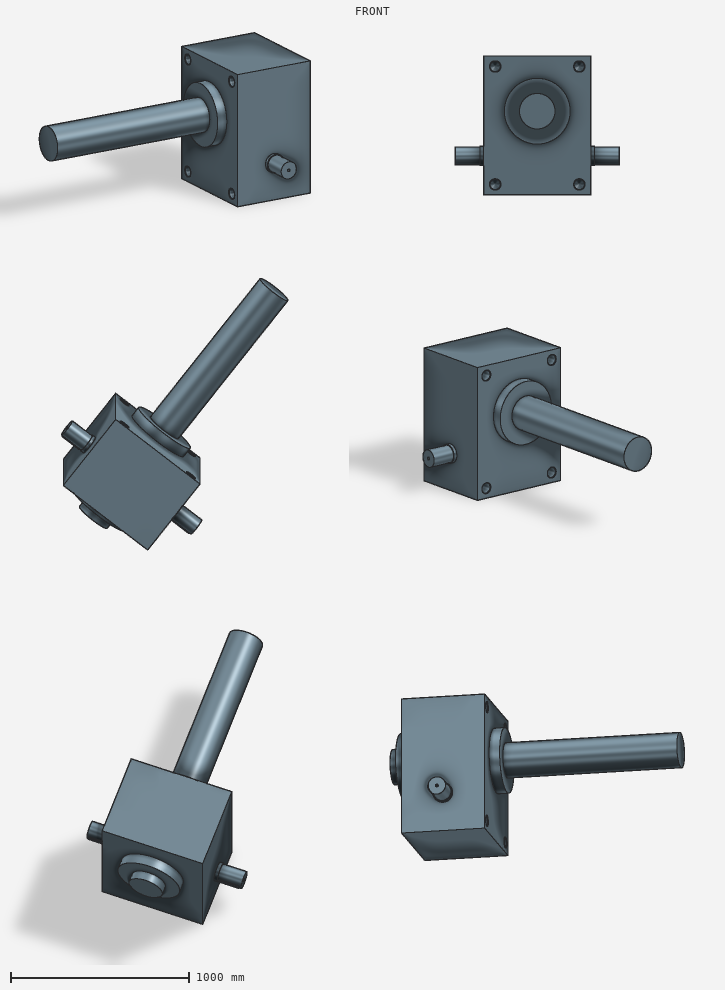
import cadquery as cq
import math

housing_width = 600.0
housing_depth = 478.0
housing_height = 780.0
boss_diameter = 370.0

drill_tip_angle = 118

hole_diameter = 58.0
hole_mouth_diameter = 65.0
hole_depth = 100.0
hole_side_inset = 65.0
hole_end_inset = 60.0

spindle_diameter = 200.0
spindle_length = 1650
spindle_height = 470.0
spindle_rear_overhang = 51.0
spindle_front_overhang = 1000.0

shaft_diameter = 100.0
shaft_height = 220.0
shoulder_diameter = 110.0
shoulder_length = 20.0
overall_width = 920.0
centre_hole_diameter = 13.9
centre_hole_mouth_diameter = 16.0
centre_hole_depth = 25.0

key_width = 25.0
key_length = 124.0
key_projection = 4.0

boss_length = (spindle_length - spindle_rear_overhang - spindle_front_overhang - housing_depth) / 2
boss_face_y = housing_depth / 2 + boss_length
housing_side_x = housing_width / 2
shaft_end_length = (overall_width - housing_width) / 2
shaft_seat_length = shaft_end_length - shoulder_length


def spindle_axis_cylinder(diameter, start_y, length):
    """Cylinder on the spindle axis that starts at start_y and runs toward +Y."""
    return cq.Workplane("XZ", origin=(0, start_y, spindle_height)).circle(diameter / 2).extrude(-length)


def blind_hole_cutter(diameter, mouth_diameter, depth):
    """Drilled hole along +Y from the origin, with a chamfered mouth and a conical tip."""
    hole_radius = diameter / 2
    mouth_radius = mouth_diameter / 2
    chamfer_depth = mouth_radius - hole_radius
    tip_length = hole_radius / math.tan(math.radians(drill_tip_angle / 2))
    return (
        cq.Workplane("XY")
        .lineTo(mouth_radius, 0)
        .lineTo(hole_radius, chamfer_depth)
        .lineTo(hole_radius, depth)
        .lineTo(0, depth + tip_length)
        .close()
        .revolve(360, (0, 0, 0), (0, 1, 0))
    )


def make_housing():
    """Block with a round boss front and rear, a spindle bore and four mounting holes."""
    block = cq.Workplane("XY").box(
        housing_width, housing_depth, housing_height, centered=(True, True, False)
    )
    through_length = 2 * boss_face_y
    bosses = spindle_axis_cylinder(boss_diameter, -boss_face_y, through_length)
    bore = spindle_axis_cylinder(spindle_diameter, -boss_face_y, through_length)
    housing = block.union(bosses).cut(bore)

    mounting_hole = blind_hole_cutter(hole_diameter, hole_mouth_diameter, hole_depth)
    hole_x = housing_width / 2 - hole_side_inset
    for x in (-hole_x, hole_x):
        for z in (hole_end_inset, housing_height - hole_end_inset):
            housing = housing.cut(mounting_hole.translate((x, -housing_depth / 2, z)))
    return housing


def make_spindle():
    """Plain round bar through the housing."""
    rear_y = boss_face_y + spindle_rear_overhang
    return spindle_axis_cylinder(spindle_diameter, rear_y - spindle_length, spindle_length)


def make_shaft_end(side):
    """Shouldered shaft end with its key and centre hole; side is +1 for +X and -1 for -X."""
    face = cq.Workplane("YZ", origin=(housing_side_x, 0, shaft_height))
    shoulder = face.circle(shoulder_diameter / 2).extrude(shoulder_length)
    seat = face.circle(shaft_diameter / 2).extrude(shaft_end_length)

    key_centre_x = housing_side_x + shoulder_length + shaft_seat_length / 2
    key = (
        cq.Workplane("XZ", origin=(key_centre_x, 0, shaft_height))
        .slot2D(key_length, key_width)
        .extrude(-(shaft_diameter / 2 + key_projection))
    )
    centre_hole = (
        blind_hole_cutter(centre_hole_diameter, centre_hole_mouth_diameter, centre_hole_depth)
        .rotate((0, 0, 0), (0, 0, 1), 90)
        .translate((overall_width / 2, 0, shaft_height))
    )
    shaft_end = shoulder.union(seat).union(key).cut(centre_hole)
    return shaft_end if side > 0 else shaft_end.mirror("YZ")


housing = make_housing()
spindle = make_spindle()
shaft_ends = [make_shaft_end(side) for side in (-1, 1)]

result = cq.Compound.makeCompound(
    [housing.val(), spindle.val(), *[shaft_end.val() for shaft_end in shaft_ends]]
)